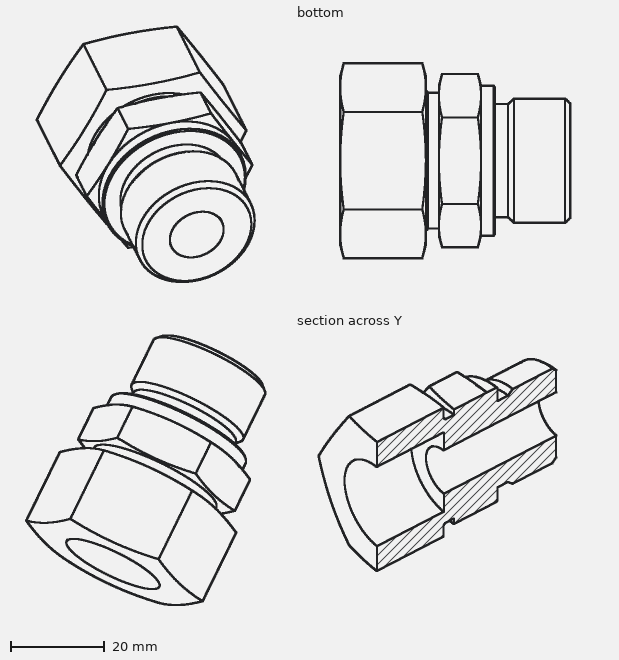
import cadquery as cq
import math

length = 49.0
nut_end = 18.25
body_hex_start = 21.0
body_hex_end = 30.0
flange_end = 33.0
relief_end = 35.75
thread_start = 37.05
end_chamfer = 1.1

nut_flats = 36.0
body_flats = 32.0
neck_diameter = 29.0
neck_cone = 0.5
flange_diameter = 32.0
flange_chamfer = 0.35
relief_diameter = 24.2
thread_diameter = 26.5
tube_diameter = 22.0
tube_depth = nut_end
bore_diameter = 12.0
corner_angle = 15.0


def cylinder(start, end, diameter):
    """Solid cylinder along X."""
    return cq.Workplane("YZ").workplane(offset=start).circle(diameter / 2).extrude(end - start)


def chamfered_hexagon(start, end, flats):
    """Hexagon with corners on Y, its corners turned down conically at both ends."""
    corners = flats / math.cos(math.radians(30))
    prism = cq.Workplane("YZ").workplane(offset=start).polygon(6, corners).extrude(end - start)
    setback = (corners - flats) / 2 * math.tan(math.radians(corner_angle))
    turned = (
        cq.Workplane("XY")
        .moveTo(start, 0)
        .lineTo(start, flats / 2)
        .lineTo(start + setback, corners / 2)
        .lineTo(end - setback, corners / 2)
        .lineTo(end, flats / 2)
        .lineTo(end, 0)
        .close()
        .revolve(360, (0, 0, 0), (1, 0, 0))
    )
    return prism.intersect(turned)


def threaded_end():
    """Relief groove and plain thread cylinder with a cone at each end."""
    relief_radius = relief_diameter / 2
    thread_radius = thread_diameter / 2
    return (
        cq.Workplane("XY")
        .moveTo(flange_end, 0)
        .lineTo(flange_end, relief_radius)
        .lineTo(relief_end, relief_radius)
        .lineTo(thread_start, thread_radius)
        .lineTo(length - end_chamfer, thread_radius)
        .lineTo(length, thread_radius - end_chamfer)
        .lineTo(length, 0)
        .close()
        .revolve(360, (0, 0, 0), (1, 0, 0))
    )


nut = chamfered_hexagon(0, nut_end, nut_flats)
cone_base_radius = neck_diameter / 2 + neck_cone
collar = cq.Workplane(
    cq.Solid.makeCone(
        cone_base_radius, neck_diameter / 2, neck_cone, cq.Vector(nut_end, 0, 0), cq.Vector(1, 0, 0)
    )
)
neck = cylinder(nut_end, body_hex_start, neck_diameter)
body_hex = chamfered_hexagon(body_hex_start, body_hex_end, body_flats)
flange = cylinder(body_hex_end, flange_end, flange_diameter).faces(">X").chamfer(flange_chamfer)

outside = nut.union(collar).union(neck).union(body_hex).union(flange).union(threaded_end())

tube_socket = cylinder(0, tube_depth, tube_diameter)
through_bore = cylinder(0, length, bore_diameter)
result = outside.cut(tube_socket).cut(through_bore)